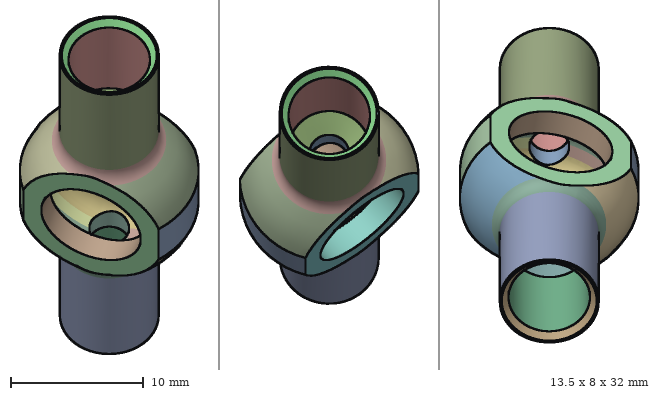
import cadquery as cq
import math

total_length = 32.0
half_length = total_length / 2

ball_radius = 7.0
barrel_radius = 6.75
ring_thickness = 8.0
root_fillet = 1.5

tube_radius = 7.5 / 2
tube_bore_radius = 6.15 / 2
tube_bore_depth = 8.0
drill_tip_angle = 118.0
mouth_chamfer = 0.5
feed_hole_diameter = 3.0

cross_bore_radius = 8.0 / 2
groove_width = 4.0
groove_depth = 1.5


def arc_midpoint(center, radius, start, end):
    """Point on an arc halfway between two of its points, on the shorter side."""
    start_angle = math.atan2(start[1] - center[1], start[0] - center[0])
    end_angle = math.atan2(end[1] - center[1], end[0] - center[0])
    middle = (start_angle + end_angle) / 2
    return center[0] + radius * math.cos(middle), center[1] + radius * math.sin(middle)


def make_outer_half():
    """Upper half of the solid of revolution: barrel, ball, root fillet and tube."""
    barrel_top = (barrel_radius, math.sqrt(ball_radius**2 - barrel_radius**2))
    center_distance = ball_radius + root_fillet
    fillet_x = tube_radius + root_fillet
    fillet_z = math.sqrt(center_distance**2 - fillet_x**2)
    on_ball = ball_radius / center_distance
    ball_end = (fillet_x * on_ball, fillet_z * on_ball)
    tube_root = (tube_radius, fillet_z)
    fillet_angle = math.pi + math.atan2(fillet_z, fillet_x) / 2
    fillet_middle = (
        fillet_x + root_fillet * math.cos(fillet_angle),
        fillet_z + root_fillet * math.sin(fillet_angle),
    )
    return (
        cq.Workplane("XZ")
        .lineTo(barrel_radius, 0)
        .lineTo(*barrel_top)
        .threePointArc(arc_midpoint((0, 0), ball_radius, barrel_top, ball_end), ball_end)
        .threePointArc(fillet_middle, tube_root)
        .lineTo(tube_radius, half_length)
        .lineTo(0, half_length)
        .close()
        .revolve(360, (0, 0, 0), (0, 1, 0))
    )


def make_tube_bore():
    """Upper tube bore with a chamfered mouth and a conical drill tip."""
    bore_bottom = half_length - tube_bore_depth
    tip_height = tube_bore_radius / math.tan(math.radians(drill_tip_angle / 2))
    return (
        cq.Workplane("XZ")
        .moveTo(0, bore_bottom - tip_height)
        .lineTo(tube_bore_radius, bore_bottom)
        .lineTo(tube_bore_radius, half_length - mouth_chamfer)
        .lineTo(tube_bore_radius + mouth_chamfer, half_length)
        .lineTo(0, half_length)
        .close()
        .revolve(360, (0, 0, 0), (0, 1, 0))
    )


def make_cross_bore():
    """Bore through the ring together with its annular groove."""
    groove_radius = cross_bore_radius + groove_depth
    groove_edge = groove_width / 2
    floor_edge = groove_edge - groove_depth
    diagonal = groove_depth * math.sqrt(0.5)
    arc_x = cross_bore_radius + diagonal
    arc_y = floor_edge + diagonal
    return (
        cq.Workplane("XY")
        .moveTo(0, -ring_thickness / 2)
        .lineTo(cross_bore_radius, -ring_thickness / 2)
        .lineTo(cross_bore_radius, -groove_edge)
        .threePointArc((arc_x, -arc_y), (groove_radius, -floor_edge))
        .lineTo(groove_radius, floor_edge)
        .threePointArc((arc_x, arc_y), (cross_bore_radius, groove_edge))
        .lineTo(cross_bore_radius, ring_thickness / 2)
        .lineTo(0, ring_thickness / 2)
        .close()
        .revolve(360, (0, 0, 0), (0, 1, 0))
    )


outer_half = make_outer_half()
outer = outer_half.union(outer_half.mirror("XY"), clean=True)
trim_block = cq.Workplane("XY").box(2 * ball_radius, ring_thickness, total_length)
result = outer.intersect(trim_block)

tube_bore = make_tube_bore()
feed_hole = cq.Workplane("XY").circle(feed_hole_diameter / 2).extrude(
    half_length - tube_bore_depth, both=True
)
result = result.cut(tube_bore).cut(tube_bore.mirror("XY"))
result = result.cut(feed_hole).cut(make_cross_bore())